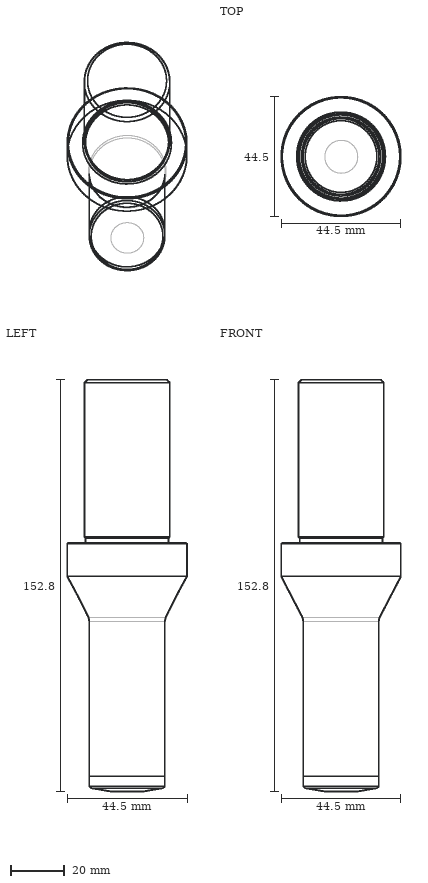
import cadquery as cq

total_length = 152.8

shank_radius = 15.9
shank_chamfer = 1.2
shank_bottom = 94.6

neck_radius = 15.5
neck_taper = 0.6
undercut_radius = 16.5
undercut_depth = 0.5

collar_radius = 22.23
collar_top = 92.3
collar_bottom = 79.8
collar_chamfer = 0.5
cone_bottom = 64.0
cone_blend_radius = 3.2

stem_radius = 14.0
head_height = 5.7
rim_height = 2.0
rim_chamfer = 0.8
tip_radius = 6.1


def revolve_profile(points):
    """Revolve a closed (radius, height) outline around the Z axis."""
    outline = cq.Workplane("XZ").polyline(points).close()
    return outline.revolve(360, (0, 0), (0, 1))


def make_holder():
    """Shank, undercut neck, collar, cone and stem, down to the joint with the head."""
    body = revolve_profile([
        (0, head_height),
        (stem_radius, head_height),
        (stem_radius, cone_bottom),
        (collar_radius, collar_bottom),
        (collar_radius, collar_top - collar_chamfer),
        (collar_radius - collar_chamfer, collar_top),
        (undercut_radius, collar_top),
        (neck_radius, collar_top - undercut_depth),
        (neck_radius, shank_bottom - neck_taper),
        (shank_radius, shank_bottom),
        (shank_radius, total_length - shank_chamfer),
        (shank_radius - shank_chamfer, total_length),
        (0, total_length),
    ])
    corner = cq.selectors.BoxSelector(
        (-collar_radius, -collar_radius, cone_bottom - cone_blend_radius),
        (collar_radius, collar_radius, cone_bottom + cone_blend_radius),
        boundingbox=True,
    )
    return body.edges("%CIRCLE").edges(corner).fillet(cone_blend_radius)


def make_cutting_head():
    """Short round head with a chamfered rim and a shallow conical end with a flat tip."""
    return revolve_profile([
        (0, 0),
        (tip_radius, 0),
        (stem_radius - rim_chamfer, rim_height - rim_chamfer),
        (stem_radius, rim_height),
        (stem_radius, head_height),
        (0, head_height),
    ])


holder = make_holder()
cutting_head = make_cutting_head()

result = cq.Compound.makeCompound([holder.val(), cutting_head.val()])